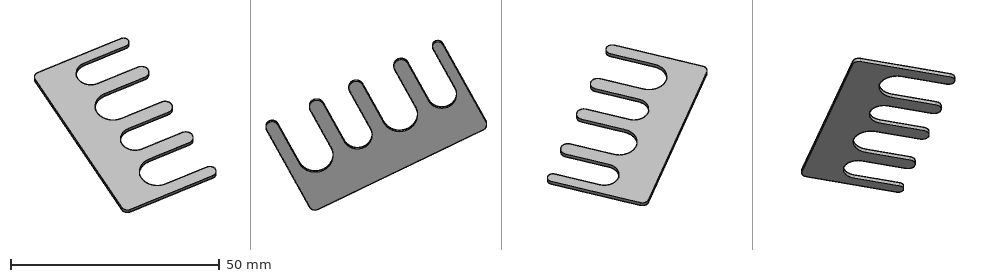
import cadquery as cq

length = 47.75
width = 25.4
thickness = 1.0
base_corner_radius = 1.55

narrow_slot = 7.05
wide_slot = 8.6
slot_arc_center_y = 12.7

left_finger = 2.65
inner_finger = 3.6
slot_widths = [narrow_slot, wide_slot, narrow_slot, wide_slot]
inner_fingers = [inner_finger] * (len(slot_widths) - 1)
right_finger = length - left_finger - sum(slot_widths) - sum(inner_fingers)
finger_widths = [left_finger, *inner_fingers, right_finger]


def base_plate():
    """Plate below the slot arc centers, with two rounded front corners."""
    return (
        cq.Workplane("XY")
        .box(length, slot_arc_center_y, thickness, centered=False)
        .edges("|Z and <Y")
        .fillet(base_corner_radius)
    )


def finger(left, finger_width):
    """Straight finger with a full-round tip on the back edge."""
    tip_radius = finger_width / 2
    shoulder_y = width - tip_radius
    return (
        cq.Workplane("XY")
        .moveTo(left, slot_arc_center_y)
        .lineTo(left + finger_width, slot_arc_center_y)
        .lineTo(left + finger_width, shoulder_y)
        .threePointArc((left + tip_radius, width), (left, shoulder_y))
        .close()
        .extrude(thickness)
    )


def slot_end(left, slot_width):
    """Cylinder that rounds the closed end of a slot."""
    radius = slot_width / 2
    return (
        cq.Workplane("XY")
        .center(left + radius, slot_arc_center_y)
        .circle(radius)
        .extrude(thickness)
    )


plate = base_plate()
slot_ends = []
left_edge = 0.0
for index, finger_width in enumerate(finger_widths):
    plate = plate.union(finger(left_edge, finger_width))
    left_edge += finger_width
    if index < len(slot_widths):
        slot_ends.append(slot_end(left_edge, slot_widths[index]))
        left_edge += slot_widths[index]

for end in slot_ends:
    plate = plate.cut(end)

result = plate.clean()